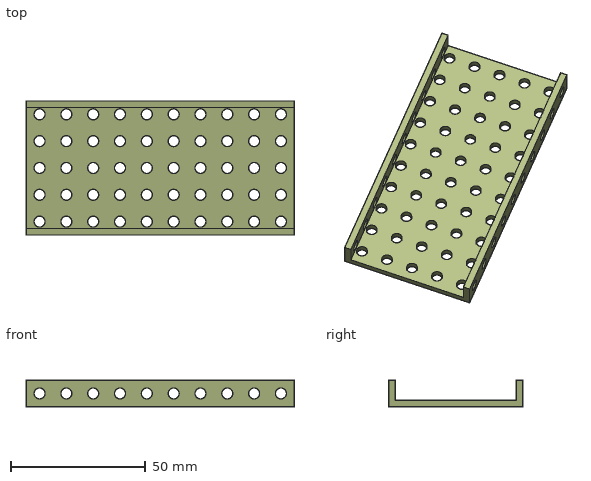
import cadquery as cq

columns = 10
rows = 5
pitch = 10.0
hole_diameter = 4.0
wall = 2.5

length = columns * pitch
width = rows * pitch
height = pitch


def make_channel():
    """U-shaped channel open at the top and at both ends, resting on Z = 0."""
    body = cq.Workplane("XY").box(length, width, height, centered=(True, True, False))
    cavity = (
        cq.Workplane("XY")
        .workplane(offset=wall)
        .box(length, width - 2 * wall, height - wall, centered=(True, True, False))
    )
    return body.cut(cavity)


def make_floor_holes():
    """Grid of vertical cutters through the floor only."""
    return (
        cq.Workplane("XY")
        .rarray(pitch, pitch, columns, rows)
        .circle(hole_diameter / 2)
        .extrude(wall)
    )


def make_flange_holes():
    """Row of cutters along Y through both side flanges, at mid height."""
    return (
        cq.Workplane("XZ", origin=(0, 0, height / 2))
        .rarray(pitch, pitch, columns, 1)
        .circle(hole_diameter / 2)
        .extrude(width / 2, both=True)
    )


result = make_channel().cut(make_floor_holes()).cut(make_flange_holes())